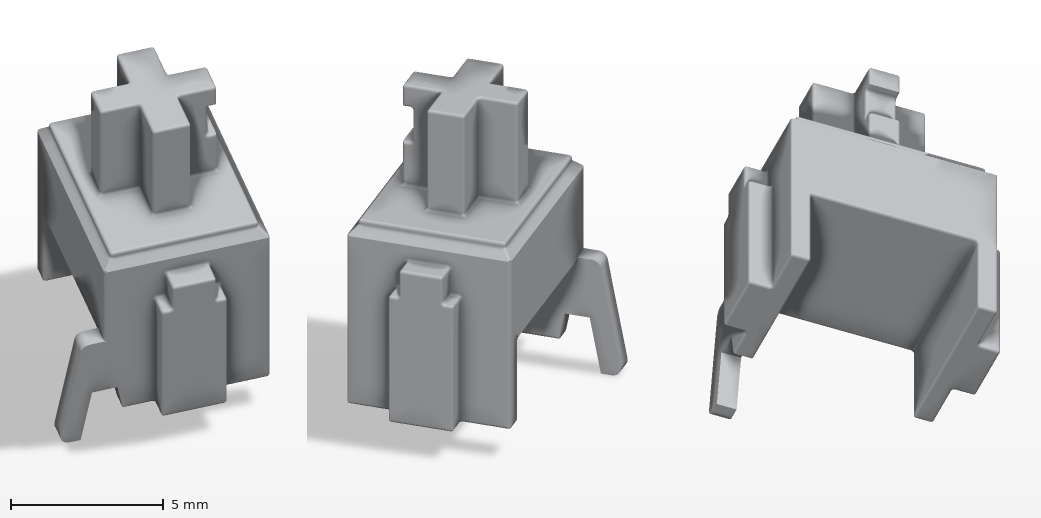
import cadquery as cq
import math

HOUSING_X = 7.3
HOUSING_Y = 5.7
LIP_TOP_Z = 6.7
LIP_HEIGHT = 0.2
BEVEL = 0.3
EDGE_RADIUS = 0.1
LIP_ROOT_RADIUS = 0.1

LEG_THICKNESS = 0.7
OPENING_HEIGHT = 3.0

STEM_SPAN = 4.0
STEM_X_ARM_WIDTH = 1.3
STEM_Y_ARM_WIDTH = 1.1
STEM_TOP_Z = 10.4

NOTCH_DEPTH = 0.35
NOTCH_BOTTOM_Z = 8.3
NOTCH_TOP_Z = 9.6

RAIL_PROJECTION = 0.8
RAIL_WIDTH = 2.25
RAIL_SHOULDER_Z = 4.65
RAIL_TAB_WIDTH = 1.5
RAIL_TAB_HEIGHT = 1.0

CLIP_REACH = 1.5
CLIP_ANGLE = 11.0
CLIP_THICKNESS = 0.75
CLIP_TOP_Z = 3.15
CLIP_ARM_BOTTOM_Z = 1.0
CLIP_FOOT_Z = -1.0
CLIP_RADIUS = 0.3
CLIP_SLOT_DEPTH = 0.45

SIDE_X = HOUSING_X / 2
FRONT_Y = -HOUSING_Y / 2
LIP_BOTTOM_Z = LIP_TOP_Z - LIP_HEIGHT
BEVEL_BOTTOM_Z = LIP_BOTTOM_Z - BEVEL
LEG_INNER_X = SIDE_X - LEG_THICKNESS
STEM_HEIGHT = STEM_TOP_Z - LIP_TOP_Z
STEM_END = STEM_SPAN / 2
RAIL_FACE_X = SIDE_X + RAIL_PROJECTION
RAIL_TOP_Z = RAIL_SHOULDER_Z + RAIL_TAB_HEIGHT
CLIP_SLOPE = math.tan(math.radians(CLIP_ANGLE))

TOLERANCE = 1e-4


def same(a, b):
    return abs(a - b) < TOLERANCE


def lies_at_x(edge, x):
    """True for an edge that lies wholly in the plane at +x or the plane at -x."""
    return same(abs(edge.Center().x), x) and edge.BoundingBox().xlen < TOLERANCE


def lies_at_y(edge, y):
    """True for an edge that lies wholly in the plane at +y or the plane at -y."""
    return same(abs(edge.Center().y), abs(y)) and edge.BoundingBox().ylen < TOLERANCE


def lies_at_z(edge, z):
    """True for an edge that lies wholly in the plane at height z."""
    return same(edge.Center().z, z) and edge.BoundingBox().zlen < TOLERANCE


def slab(size_x, size_y, bottom_z, top_z):
    """Rectangular slab centred on the Z axis."""
    return (
        cq.Workplane("XY", origin=(0, 0, bottom_z))
        .rect(size_x, size_y)
        .extrude(top_z - bottom_z)
    )


def make_housing():
    bevel = (
        cq.Workplane("XY", origin=(0, 0, BEVEL_BOTTOM_Z))
        .rect(HOUSING_X, HOUSING_Y)
        .extrude(BEVEL, taper=45)
    )
    lip = slab(HOUSING_X - 2 * BEVEL, HOUSING_Y - 2 * BEVEL, LIP_BOTTOM_Z, LIP_TOP_Z)
    housing = slab(HOUSING_X, HOUSING_Y, 0, BEVEL_BOTTOM_Z).union(bevel).union(lip)
    housing = housing.edges().filter(lambda e: lies_at_z(e, LIP_BOTTOM_Z)).fillet(LIP_ROOT_RADIUS)
    housing = housing.edges("not #Z").fillet(EDGE_RADIUS)
    return housing.faces(">Z").edges().fillet(EDGE_RADIUS)


def add_rails(housing):
    """Both rails, as one stepped bar running through the housing along X."""
    shoulder_y = RAIL_WIDTH / 2
    tab_y = RAIL_TAB_WIDTH / 2
    bar = (
        cq.Workplane("YZ")
        .moveTo(-shoulder_y, 0)
        .lineTo(-shoulder_y, RAIL_SHOULDER_Z)
        .lineTo(-tab_y, RAIL_SHOULDER_Z)
        .lineTo(-tab_y, RAIL_TOP_Z)
        .lineTo(tab_y, RAIL_TOP_Z)
        .lineTo(tab_y, RAIL_SHOULDER_Z)
        .lineTo(shoulder_y, RAIL_SHOULDER_Z)
        .lineTo(shoulder_y, 0)
        .close()
        .extrude(RAIL_FACE_X, both=True)
        .edges("|X and (not <Z)")
        .fillet(EDGE_RADIUS)
    )
    return housing.union(bar)


def cut_opening(housing):
    opening = (
        slab(2 * LEG_INNER_X, 2 * HOUSING_Y, -OPENING_HEIGHT, OPENING_HEIGHT)
        .edges("|Y and >Z")
        .fillet(EDGE_RADIUS)
    )
    return housing.cut(opening)


def is_rail_root(edge):
    """Edges where the rails meet the sides of the housing, above the feet."""
    center = edge.Center()
    beside_rail = abs(center.y) < RAIL_WIDTH / 2 + TOLERANCE
    between_ends = TOLERANCE < center.z < RAIL_TOP_Z + TOLERANCE
    return lies_at_x(edge, SIDE_X) and beside_rail and between_ends


def is_opening_rim(edge):
    """Edges of the opening in the front and back faces."""
    center = edge.Center()
    inside = abs(center.x) < LEG_INNER_X + TOLERANCE and center.z < OPENING_HEIGHT + TOLERANCE
    return lies_at_y(edge, FRONT_Y) and inside


def is_outer_rim(edge):
    return lies_at_x(edge, RAIL_FACE_X) or lies_at_z(edge, 0) or is_opening_rim(edge)


def round_rails_and_legs(housing):
    housing = housing.edges().filter(is_rail_root).fillet(EDGE_RADIUS)
    return housing.edges().filter(is_outer_rim).fillet(EDGE_RADIUS)


def add_clip(housing):
    """Clip on the +X leg, set apart from the lower leg by a slanted slot."""

    def outer_y(z):
        heel_y = FRONT_Y - CLIP_REACH + CLIP_RADIUS
        line_y = heel_y - CLIP_RADIUS / math.cos(math.radians(CLIP_ANGLE))
        return line_y + (z - CLIP_FOOT_Z - CLIP_RADIUS) * CLIP_SLOPE

    def inner_y(z):
        return outer_y(z) + CLIP_THICKNESS

    slot_top_y = FRONT_Y + CLIP_SLOT_DEPTH
    slot_foot_y = slot_top_y + (CLIP_ARM_BOTTOM_Z - CLIP_FOOT_Z) * CLIP_SLOPE

    slot = (
        cq.Workplane("YZ", origin=(LEG_INNER_X, 0, 0))
        .moveTo(slot_top_y, CLIP_ARM_BOTTOM_Z)
        .lineTo(slot_foot_y, CLIP_FOOT_Z)
        .lineTo(2 * FRONT_Y, CLIP_FOOT_Z)
        .lineTo(2 * FRONT_Y, CLIP_ARM_BOTTOM_Z)
        .close()
        .extrude(LEG_THICKNESS)
    )
    clip = (
        cq.Workplane("YZ", origin=(LEG_INNER_X, 0, 0))
        .moveTo(slot_top_y, CLIP_TOP_Z)
        .lineTo(outer_y(CLIP_TOP_Z), CLIP_TOP_Z)
        .lineTo(outer_y(CLIP_FOOT_Z), CLIP_FOOT_Z)
        .lineTo(inner_y(CLIP_FOOT_Z), CLIP_FOOT_Z)
        .lineTo(inner_y(CLIP_ARM_BOTTOM_Z), CLIP_ARM_BOTTOM_Z)
        .lineTo(slot_top_y, CLIP_ARM_BOTTOM_Z)
        .close()
        .extrude(LEG_THICKNESS)
    )
    front_edges = clip.edges("|X").filter(
        lambda e: any(same(e.Center().y, outer_y(z)) for z in (CLIP_TOP_Z, CLIP_FOOT_Z))
    )
    return housing.cut(slot).union(front_edges.fillet(CLIP_RADIUS))


def is_inside_corner(edge):
    """Upright edges where the two arms of the stem meet."""
    center = edge.Center()
    return same(abs(center.x), STEM_Y_ARM_WIDTH / 2) and same(abs(center.y), STEM_X_ARM_WIDTH / 2)


def make_stem():
    x_arm = slab(STEM_SPAN, STEM_X_ARM_WIDTH, LIP_TOP_Z, STEM_TOP_Z)
    y_arm = slab(STEM_Y_ARM_WIDTH, STEM_SPAN, LIP_TOP_Z, STEM_TOP_Z)
    notch = (
        slab(2 * STEM_Y_ARM_WIDTH, 2 * NOTCH_DEPTH, NOTCH_BOTTOM_Z, NOTCH_TOP_Z)
        .edges("|X")
        .fillet(EDGE_RADIUS)
        .translate((0, STEM_END, 0))
    )
    cross = x_arm.union(y_arm)
    cross = cross.edges("|Z").filter(is_inside_corner).fillet(EDGE_RADIUS)
    return cross.cut(notch)


def is_stem_root(edge):
    center = edge.Center()
    return lies_at_z(edge, LIP_TOP_Z) and max(abs(center.x), abs(center.y)) < STEM_END + TOLERANCE


def is_stem_edge(edge):
    """Sharp edges of the stem above its root, except those across the notch."""
    box = edge.BoundingBox()
    above_root = box.zmax > LIP_TOP_Z + EDGE_RADIUS + TOLERANCE and box.zmin > LIP_TOP_Z + TOLERANCE
    on_top = lies_at_z(edge, STEM_TOP_Z)
    across_notch = same(box.xlen, STEM_Y_ARM_WIDTH)
    beside_inside_corner = (
        box.zlen > STEM_HEIGHT / 2
        and abs(edge.Center().x) < STEM_END - TOLERANCE
        and abs(edge.Center().y) < STEM_END - TOLERANCE
    )
    return above_root and (on_top or not (across_notch or beside_inside_corner))


def add_stem(housing):
    part = housing.union(make_stem())
    part = part.edges().filter(is_stem_root).fillet(EDGE_RADIUS)
    return part.edges().filter(is_stem_edge).fillet(EDGE_RADIUS)


housing = round_rails_and_legs(cut_opening(add_rails(make_housing())))
result = add_clip(add_stem(housing))